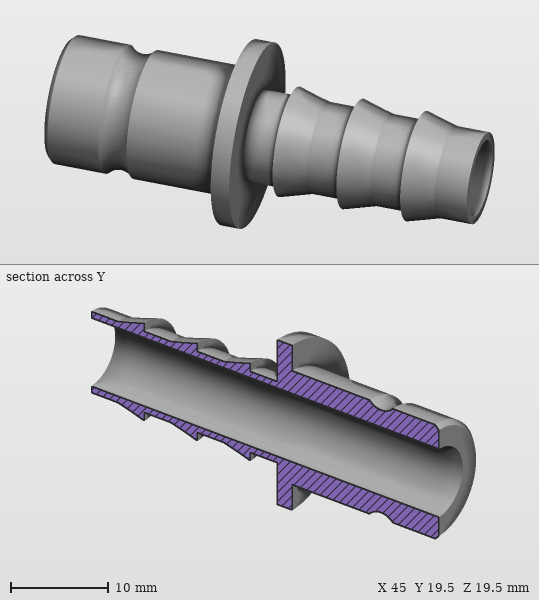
import cadquery as cq


TOTAL_LENGTH = 45.0
FLANGE_START = 19.0
FLANGE_THICKNESS = 2.0
GROOVE_START = 6.0
GROOVE_WIDTH = 3.0
PLUG_CHAMFER = 0.5

FLANGE_DIAMETER = 19.5
PLUG_DIAMETER = 13.5
STEM_DIAMETER = 9.65
BARB_DIAMETER = 11.55
BORE_DIAMETER = 8.0

GROOVE_DEPTH = 0.68

BARB_COUNT = 3
STEM_START = FLANGE_START + FLANGE_THICKNESS
STEM_LENGTH = TOTAL_LENGTH - STEM_START
BARB_LENGTH = STEM_LENGTH / (2 * BARB_COUNT + 1)
BARB_PITCH = 2 * BARB_LENGTH


def cylinder(start, length, diameter):
    """Solid cylinder along +X, beginning at X = start."""
    return cq.Workplane("YZ", origin=(start, 0, 0)).circle(diameter / 2).extrude(length)


def revolve_about_x(profile):
    """Full turn of a closed XY profile about the X axis."""
    return profile.revolve(360, (0, 0, 0), (1, 0, 0))


def plug():
    """Front cylinder with a chamfered nose and a round-bottomed locking groove."""
    body = cylinder(0, FLANGE_START, PLUG_DIAMETER)
    body = body.faces("<X").chamfer(PLUG_CHAMFER)
    radius = PLUG_DIAMETER / 2
    groove_middle = GROOVE_START + GROOVE_WIDTH / 2
    groove_end = GROOVE_START + GROOVE_WIDTH
    outside_radius = radius + GROOVE_DEPTH
    groove = revolve_about_x(
        cq.Workplane("XY")
        .moveTo(GROOVE_START, radius)
        .threePointArc((groove_middle, radius - GROOVE_DEPTH), (groove_end, radius))
        .lineTo(groove_end, outside_radius)
        .lineTo(GROOVE_START, outside_radius)
        .close()
    )
    return body.cut(groove)


def barb(start):
    """Cone with a flat face toward the flange, tapering to the stem toward +X."""
    return revolve_about_x(
        cq.Workplane("XY")
        .moveTo(start, 0)
        .lineTo(start, BARB_DIAMETER / 2)
        .lineTo(start + BARB_LENGTH, STEM_DIAMETER / 2)
        .lineTo(start + BARB_LENGTH, 0)
        .close()
    )


def hose_stem():
    """Plain stem carrying the evenly spaced barbs."""
    stem = cylinder(STEM_START, STEM_LENGTH, STEM_DIAMETER)
    for index in range(BARB_COUNT):
        stem = stem.union(barb(STEM_START + BARB_LENGTH + index * BARB_PITCH))
    return stem


flange = cylinder(FLANGE_START, FLANGE_THICKNESS, FLANGE_DIAMETER)
bore = cylinder(0, TOTAL_LENGTH, BORE_DIAMETER)

result = plug().union(flange).union(hose_stem()).cut(bore)